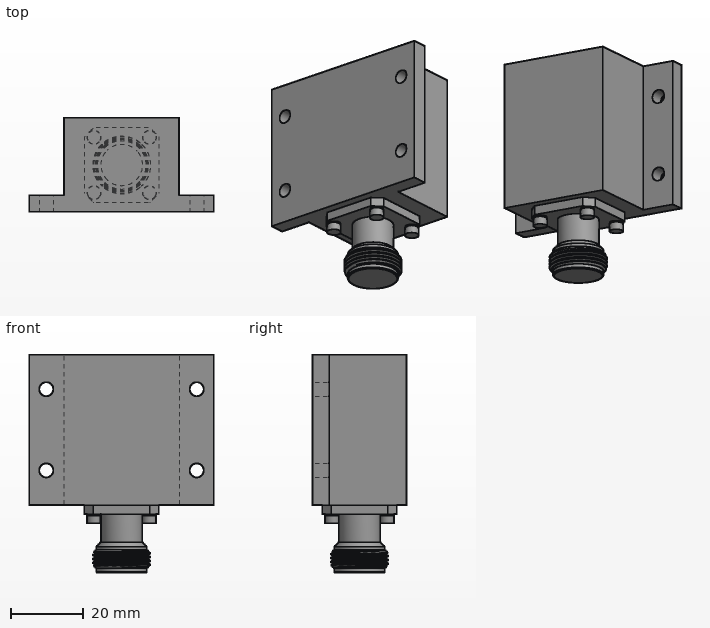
import cadquery as cq
import math

plate_width = 50.8
plate_thickness = 4.57
housing_width = 31.75
housing_depth = 25.91
housing_height = 41.4
lid_thickness = 1.27

mount_hole_diameter = 3.81
mount_spacing_x = 41.4
mount_spacing_z = 22.35

flange_size = 20.57
flange_thickness = 2.54
flange_corner_cut = 2.54
screw_spacing = 15.24
screw_head_diameter = 3.81
screw_head_height = 2.54
screw_shank_diameter = 3.66
screw_shank_height = 0.38

neck_diameter = 11.43
barrel_diameter = 13.97
neck_end = 10.2
thread_start = 12.3
thread_end = 17.42
barrel_end = 18.7
barrel_chamfer = 0.3

thread_diameter = 15.875
threads_per_inch = 24
thread_pitch = 25.4 / threads_per_inch
thread_angle = 60
flank_slope = math.tan(math.radians(thread_angle / 2))
crest_width = thread_pitch / 8
root_width = thread_pitch / 8
thread_depth = (thread_pitch - crest_width - root_width) / 2 / flank_slope
ridge_embed = 0.05
thread_run_out = 1.13


def make_housing():
    """Box with a wide mounting plate in front and a lid behind; underside at Z = 0."""
    plate = cq.Workplane("XY").box(
        plate_width, plate_thickness, housing_height, centered=(True, False, False)
    )
    body_depth = housing_depth - plate_thickness - lid_thickness
    body = (
        cq.Workplane("XY")
        .box(housing_width, body_depth, housing_height, centered=(True, False, False))
        .translate((0, plate_thickness, 0))
    )
    lid = (
        cq.Workplane("XY")
        .box(housing_width, lid_thickness, housing_height, centered=(True, False, False))
        .translate((0, housing_depth - lid_thickness, 0))
    )
    holes = (
        cq.Workplane("XZ", origin=(0, 0, housing_height / 2))
        .rarray(mount_spacing_x, mount_spacing_z, 2, 2)
        .circle(mount_hole_diameter / 2)
        .extrude(-plate_thickness)
    )
    return plate.cut(holes).union(body).union(lid, clean=False)


def make_flange():
    """Square connector flange with cut corners, hanging below Z = 0."""
    return (
        cq.Workplane("XY")
        .rect(flange_size, flange_size)
        .extrude(-flange_thickness)
        .edges("|Z")
        .chamfer(flange_corner_cut)
    )


def make_screws():
    """Four flange screws: a short exposed shank and a cylindrical head each."""
    def cylinders(diameter, top, height):
        return (
            cq.Workplane("XY", origin=(0, 0, -top))
            .rarray(screw_spacing, screw_spacing, 2, 2)
            .circle(diameter / 2)
            .extrude(-height)
        )

    shanks = cylinders(screw_shank_diameter, flange_thickness, screw_shank_height)
    head_top = flange_thickness + screw_shank_height
    heads = cylinders(screw_head_diameter, head_top, screw_head_height - screw_shank_height)
    return shanks.union(heads)


def revolve_outline(points):
    """Solid of revolution about Z from (radius, z) points."""
    return cq.Workplane("XZ").polyline(points).close().revolve(360, (0, 0, 0), (0, 1, 0))


def make_thread_ridge():
    """Right-handed helical ridge, cut off by a 45 degree cone at each end."""
    crest_radius = thread_diameter / 2
    base_radius = crest_radius - thread_depth - ridge_embed
    crest_half = crest_width / 2
    base_half = crest_half + (thread_depth + ridge_embed) * flank_slope
    helix = cq.Wire.makeHelix(
        thread_pitch, thread_end - thread_start + 2 * thread_run_out, base_radius
    )
    ridge = (
        cq.Workplane("XZ")
        .polyline(
            [
                (base_radius, -base_half),
                (base_radius, base_half),
                (crest_radius, crest_half),
                (crest_radius, -crest_half),
            ]
        )
        .close()
        .sweep(cq.Workplane(helix), isFrenet=True)
        .translate((0, 0, -thread_end - thread_run_out))
    )

    barrel_radius = barrel_diameter / 2
    half_length = (thread_end - thread_start) / 2
    envelope = revolve_outline(
        [
            (0, -thread_end),
            (barrel_radius, -thread_end),
            (barrel_radius + half_length, -thread_start - half_length),
            (barrel_radius, -thread_start),
            (0, -thread_start),
        ]
    )
    return ridge.intersect(envelope)


def make_barrel():
    """Turned connector barrel with a threaded collar."""
    neck_radius = neck_diameter / 2
    barrel_radius = barrel_diameter / 2
    root_radius = thread_diameter / 2 - thread_depth
    cone_length = barrel_radius - neck_radius
    root_lead = root_radius - barrel_radius
    turned = revolve_outline(
        [
            (0, 0),
            (neck_radius, 0),
            (neck_radius, -neck_end),
            (barrel_radius, -neck_end - cone_length),
            (barrel_radius, -thread_start),
            (root_radius, -thread_start - root_lead),
            (root_radius, -thread_end + root_lead),
            (barrel_radius, -thread_end),
            (barrel_radius, -barrel_end + barrel_chamfer),
            (barrel_radius - barrel_chamfer, -barrel_end),
            (0, -barrel_end),
        ]
    )
    return turned.union(make_thread_ridge())


connector = make_flange().union(make_screws()).union(make_barrel())
connector = connector.translate((0, housing_depth / 2, 0))
result = make_housing().union(connector, clean=False)